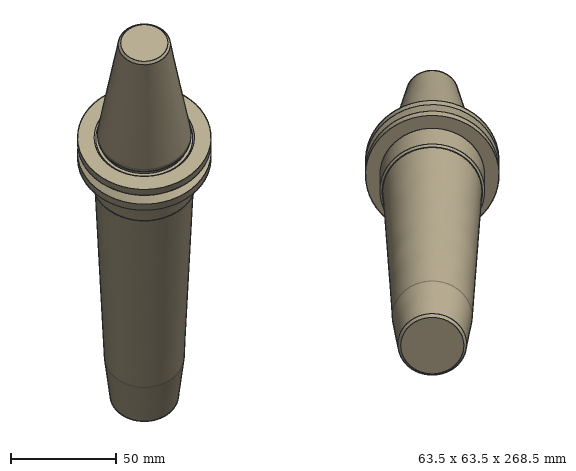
import cadquery as cq
import math

overall_length = 268.5
taper_length = 68.5
nose_z = taper_length - overall_length

gauge_radius = 22.3
taper_ratio = 7 / 24
taper_tip_chamfer = 1.0
taper_tip_radius = gauge_radius - taper_length * taper_ratio / 2
gauge_band_length = 1.5
undercut_radius = 21.5

flange_diameter = 63.5
flange_radius = flange_diameter / 2
flange_top_z = -3.2
flange_bottom_z = -19.0
groove_center_z = -11.0
groove_floor_radius = 28.2
groove_floor_half_width = 1.3
groove_flank_angle = 30.0
groove_depth = flange_radius - groove_floor_radius
groove_mouth_half_width = groove_floor_half_width + groove_depth * math.tan(math.radians(groove_flank_angle))

relief_radius = 24.0
relief_depth = 0.8

collar_radius = 25.0
collar_bottom_z = -36.8
collar_chamfer = 1.0

body_top_radius = 23.5
body_bottom_radius = 19.0
nose_length = 30.5
nose_radius = 16.5
nose_chamfer = 1.3


def taper_profile():
    """Half outline of the taper, from the tip to the relief sunk into the flange top."""
    return [
        (0, taper_length),
        (taper_tip_radius - taper_tip_chamfer, taper_length),
        (taper_tip_radius + taper_tip_chamfer * taper_ratio / 2, taper_length - taper_tip_chamfer),
        (gauge_radius, 0),
        (gauge_radius, -gauge_band_length),
        (undercut_radius, -gauge_band_length - (gauge_radius - undercut_radius)),
        (undercut_radius, flange_top_z - relief_depth),
        (relief_radius - relief_depth, flange_top_z - relief_depth),
        (relief_radius, flange_top_z),
    ]


def flange_profile():
    """Half outline of the flange rim, including its gripper groove."""
    return [
        (flange_radius, flange_top_z),
        (flange_radius, groove_center_z + groove_mouth_half_width),
        (groove_floor_radius, groove_center_z + groove_floor_half_width),
        (groove_floor_radius, groove_center_z - groove_floor_half_width),
        (flange_radius, groove_center_z - groove_mouth_half_width),
        (flange_radius, flange_bottom_z),
    ]


def body_profile():
    """Half outline of the collar, tapered body and nose."""
    return [
        (collar_radius, flange_bottom_z),
        (collar_radius, collar_bottom_z + collar_chamfer),
        (collar_radius - collar_chamfer, collar_bottom_z),
        (body_top_radius, collar_bottom_z),
        (body_bottom_radius, nose_z + nose_length),
        (nose_radius, nose_z + nose_chamfer),
        (nose_radius - nose_chamfer, nose_z),
        (0, nose_z),
    ]


half_outline = taper_profile() + flange_profile() + body_profile()
result = cq.Workplane("XZ").polyline(half_outline).close().revolve(360, (0, 0, 0), (0, 1, 0))